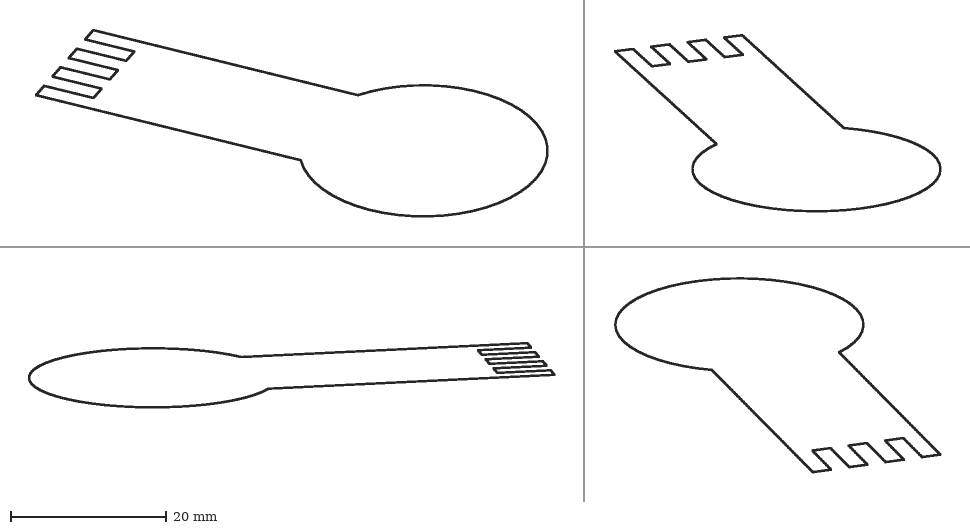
import cadquery as cq

thickness = 0.05
overall_length = 67.01
disc_diameter = 32.0
finger_count = 4
finger_width = 2.5
finger_length = 7.0

finger_pitch = 2 * finger_width
gap_count = finger_count - 1
strip_width = (finger_count + gap_count) * finger_width

disc_radius = disc_diameter / 2
strip_length = overall_length - disc_radius
finger_tip_x = -strip_length


def make_disc():
    return cq.Workplane("XY").circle(disc_radius).extrude(thickness)


def make_strip():
    """Straight strip from the finger tips to the disc centre."""
    return (
        cq.Workplane("XY")
        .rect(strip_length, strip_width)
        .extrude(thickness)
        .translate((finger_tip_x + strip_length / 2, 0, 0))
    )


def make_finger_gaps():
    """Open-ended gaps that split the strip end into fingers."""
    return (
        cq.Workplane("XY")
        .center(finger_tip_x + finger_length / 2, 0)
        .rarray(finger_length, finger_pitch, 1, gap_count)
        .rect(finger_length, finger_width)
        .extrude(thickness)
    )


result = make_disc().union(make_strip()).cut(make_finger_gaps())